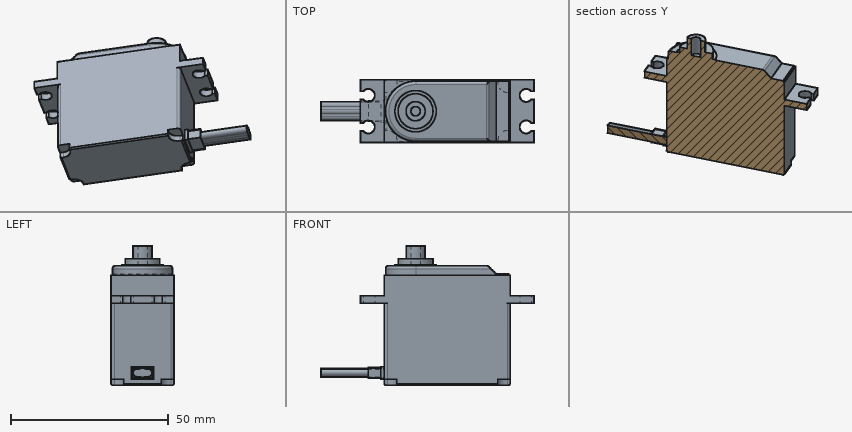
import cadquery as cq
import math


CASE_LENGTH = 40.0
CASE_WIDTH = 20.0
CASE_HEIGHT = 34.95
CASE_CORNER_RADIUS = 1.0
BOTTOM_CHAMFER = 0.5

NOTCH_SIDE = 4.0
NOTCH_HEIGHT = 2.0

FLANGE_OVERHANG = 7.5
FLANGE_BOTTOM = 26.0
FLANGE_THICKNESS = 2.5
SCREW_HOLE_RADIUS = 2.0
SCREW_HOLE_OFFSET_Y = 5.0
SCREW_HOLE_FROM_TIP = 2.5
SCREW_SLOT_WIDTH = 2.5

COVER_MARGIN = 0.5
COVER_HEIGHT = 3.05
COVER_STEP_HEIGHT = 0.4
COVER_TOP_END = 32.9
COVER_EDGE_RADIUS = 1.0
COVER_RADIUS = CASE_WIDTH / 2 - COVER_MARGIN
COVER_TOP = CASE_HEIGHT + COVER_HEIGHT

SHAFT_X = COVER_MARGIN + COVER_RADIUS
SEAT_RADIUS = 6.55
SEAT_HEIGHT = 0.2
COLLAR_RADIUS = 5.55
COLLAR_HEIGHT = 2.0
SPINDLE_RADIUS = 3.05
SPINDLE_HEIGHT = 4.0
SHAFT_BORE_RADIUS = 1.5

RELIEF_BASE_WIDTH = 7.0
RELIEF_BASE_LENGTH = 1.0
RELIEF_BASE_HEIGHT = 4.0
RELIEF_LENGTH = 5.05
RELIEF_INSET = 0.3
RELIEF_WALL = 0.2

CABLE_LENGTH = 20.0
CABLE_WIDTH = 6.0
CABLE_Z = NOTCH_HEIGHT + RELIEF_BASE_HEIGHT / 2
MIDDLE_WIRE_RADIUS = 1.5
OUTER_WIRE_RADIUS = 1.2
VALLEY_RADIUS = 1.5


def box(x_start, x_end, width, z_bottom, z_top):
    """Block centred on the XZ plane."""
    return cq.Workplane("XY").box(
        x_end - x_start, width, z_top - z_bottom, centered=(False, True, False)
    ).translate((x_start, 0, z_bottom))


def build_case():
    lower = box(0, CASE_LENGTH, CASE_WIDTH, 0, FLANGE_BOTTOM)
    lower = lower.edges("|Z").fillet(CASE_CORNER_RADIUS)
    lower = lower.faces("<Z").edges().chamfer(BOTTOM_CHAMFER)
    lower = lower.cut(build_corner_notches())
    upper = box(0, CASE_LENGTH, CASE_WIDTH, FLANGE_BOTTOM, CASE_HEIGHT)
    return lower.union(upper)


def build_corner_notches():
    """Square notches whose inner corner is rounded about the centre of the case corner fillet."""
    inner_radius = NOTCH_SIDE - CASE_CORNER_RADIUS
    notches = (
        cq.Workplane("XY")
        .rect(CASE_LENGTH, CASE_WIDTH, forConstruction=True)
        .vertices()
        .rect(2 * NOTCH_SIDE, 2 * NOTCH_SIDE)
        .extrude(NOTCH_HEIGHT)
        .edges("|Z")
        .fillet(inner_radius)
    )
    return notches.translate((CASE_LENGTH / 2, 0, 0))


def build_flange():
    flange = box(
        -FLANGE_OVERHANG,
        CASE_LENGTH + FLANGE_OVERHANG,
        CASE_WIDTH,
        FLANGE_BOTTOM,
        FLANGE_BOTTOM + FLANGE_THICKNESS,
    )
    tip_distance = CASE_LENGTH / 2 + FLANGE_OVERHANG
    hole_distance = tip_distance - SCREW_HOLE_FROM_TIP
    for side_x in (-1, 1):
        for side_y in (-1, 1):
            y = side_y * SCREW_HOLE_OFFSET_Y
            hole_x = CASE_LENGTH / 2 + side_x * hole_distance
            tip_x = CASE_LENGTH / 2 + side_x * tip_distance
            slot_plane = cq.Workplane("XY", origin=(0, 0, FLANGE_BOTTOM))
            hole = slot_plane.center(hole_x, y).circle(SCREW_HOLE_RADIUS).extrude(FLANGE_THICKNESS)
            neck = (
                slot_plane.center((hole_x + tip_x) / 2, y)
                .rect(SCREW_HOLE_FROM_TIP, SCREW_SLOT_WIDTH)
                .extrude(FLANGE_THICKNESS)
            )
            flange = flange.cut(hole).cut(neck)
    return flange


def build_gear_cover():
    """Raised cover, round about the shaft, with a 45 degree slope down to a thin step."""
    cover_end = CASE_LENGTH - COVER_MARGIN
    outline = (
        cq.Workplane("XY", origin=(0, 0, CASE_HEIGHT))
        .moveTo(cover_end, -COVER_RADIUS)
        .lineTo(SHAFT_X, -COVER_RADIUS)
        .threePointArc((COVER_MARGIN, 0), (SHAFT_X, COVER_RADIUS))
        .lineTo(cover_end, COVER_RADIUS)
        .close()
        .extrude(COVER_HEIGHT)
    )
    slope_end = COVER_TOP_END + COVER_HEIGHT - COVER_STEP_HEIGHT
    step_top = CASE_HEIGHT + COVER_STEP_HEIGHT
    above_slope = (
        cq.Workplane("XZ")
        .polyline(
            [
                (COVER_TOP_END, COVER_TOP),
                (slope_end, step_top),
                (CASE_LENGTH, step_top),
                (CASE_LENGTH, COVER_TOP),
            ]
        )
        .close()
        .extrude(CASE_WIDTH / 2, both=True)
    )
    return outline.cut(above_slope).faces(">Z").edges().fillet(COVER_EDGE_RADIUS)


def build_output_shaft():
    """Stepped shaft standing on the gear cover, bored along its axis down to the cover top."""
    return (
        cq.Workplane("XY", origin=(SHAFT_X, 0, COVER_TOP))
        .circle(SEAT_RADIUS)
        .extrude(SEAT_HEIGHT)
        .faces(">Z")
        .workplane()
        .circle(COLLAR_RADIUS)
        .extrude(COLLAR_HEIGHT)
        .faces(">Z")
        .workplane()
        .circle(SPINDLE_RADIUS)
        .extrude(SPINDLE_HEIGHT)
        .faces(">Z")
        .workplane()
        .circle(SHAFT_BORE_RADIUS)
        .cutThruAll()
    )


def build_strain_relief():
    """Hollow rectangular sleeve on a wider base; the cable runs inside it up to the case."""
    neck_width = RELIEF_BASE_WIDTH - 2 * RELIEF_INSET
    neck_bottom = NOTCH_HEIGHT + RELIEF_INSET
    neck_top = NOTCH_HEIGHT + RELIEF_BASE_HEIGHT - RELIEF_INSET
    base = box(
        -RELIEF_BASE_LENGTH,
        0,
        RELIEF_BASE_WIDTH,
        NOTCH_HEIGHT,
        NOTCH_HEIGHT + RELIEF_BASE_HEIGHT,
    )
    neck = box(-RELIEF_LENGTH, 0, neck_width, neck_bottom, neck_top)
    socket = box(
        -RELIEF_LENGTH,
        0,
        neck_width - 2 * RELIEF_WALL,
        neck_bottom + RELIEF_WALL,
        neck_top - RELIEF_WALL,
    )
    return base.union(neck).cut(socket)


def build_housing():
    return (
        build_case()
        .union(build_flange())
        .union(build_gear_cover())
        .union(build_output_shaft())
        .union(build_strain_relief())
    )


def build_cable():
    """Three wires side by side, with rounded valleys between them."""
    outer_y = CABLE_WIDTH / 2 - OUTER_WIRE_RADIUS
    to_middle = MIDDLE_WIRE_RADIUS + VALLEY_RADIUS
    to_outer = OUTER_WIRE_RADIUS + VALLEY_RADIUS
    valley_y = (to_middle**2 - to_outer**2 + outer_y**2) / (2 * outer_y)
    valley_z = math.sqrt(to_middle**2 - valley_y**2)
    inner_share = MIDDLE_WIRE_RADIUS / to_middle
    inner_y = valley_y * inner_share
    inner_z = valley_z * inner_share
    outer_share = OUTER_WIRE_RADIUS / to_outer
    touch_y = outer_y + (valley_y - outer_y) * outer_share
    touch_z = valley_z * outer_share
    low_z = valley_z - VALLEY_RADIUS
    half_width = CABLE_WIDTH / 2
    return (
        cq.Workplane("YZ", origin=(-CABLE_LENGTH, 0, CABLE_Z))
        .moveTo(-inner_y, inner_z)
        .threePointArc((0, MIDDLE_WIRE_RADIUS), (inner_y, inner_z))
        .threePointArc((valley_y, low_z), (touch_y, touch_z))
        .threePointArc((half_width, 0), (touch_y, -touch_z))
        .threePointArc((valley_y, -low_z), (inner_y, -inner_z))
        .threePointArc((0, -MIDDLE_WIRE_RADIUS), (-inner_y, -inner_z))
        .threePointArc((-valley_y, -low_z), (-touch_y, -touch_z))
        .threePointArc((-half_width, 0), (-touch_y, touch_z))
        .threePointArc((-valley_y, low_z), (-inner_y, inner_z))
        .close()
        .extrude(CABLE_LENGTH)
    )


housing = build_housing()
cable = build_cable()

result = cq.Compound.makeCompound([housing.val(), cable.val()])